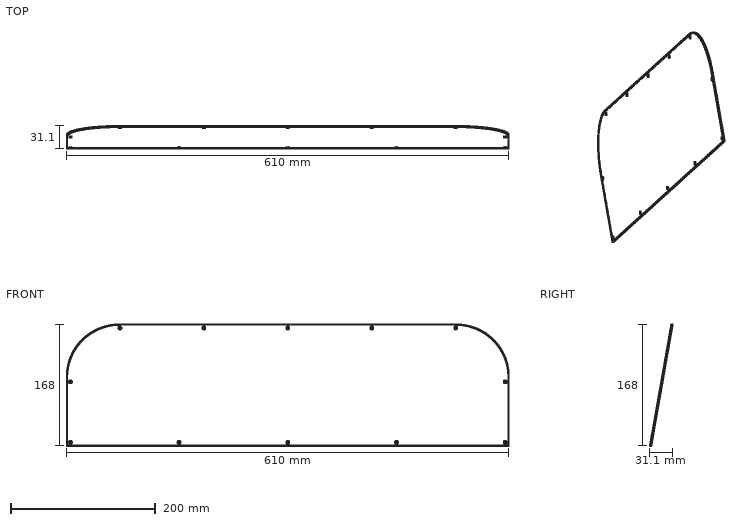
import cadquery as cq
import math

length = 610.0
overall_height = 168.0
thickness = 1.5
tilt = 10.0
corner_radius = 73.0

hole_diameter = 3.2
edge_margin = 5.0
top_hole_pitch = 116.0
top_hole_count = 5
bottom_hole_count = 5
side_hole_height = 89.5

tilt_angle = math.radians(tilt)
panel_height = (overall_height - thickness * math.sin(tilt_angle)) / math.cos(tilt_angle)
side_hole_x = length / 2 - edge_margin
bottom_hole_pitch = 2 * side_hole_x / (bottom_hole_count - 1)


def hole_row(count, pitch, height):
    """Return centred hole positions at one height."""
    first = -pitch * (count - 1) / 2
    return [(first + i * pitch, height) for i in range(count)]


def make_panel():
    """Upright panel standing on Z = 0, its front face on Y = 0."""
    blank = cq.Workplane("XY").box(length, thickness, panel_height, centered=(True, False, False))
    return blank.edges("|Y and >Z").fillet(corner_radius)


def make_hole_cutters():
    """Cylinders that pass right through the upright panel."""
    positions = hole_row(top_hole_count, top_hole_pitch, panel_height - edge_margin)
    positions += hole_row(bottom_hole_count, bottom_hole_pitch, edge_margin)
    positions += hole_row(2, 2 * side_hole_x, side_hole_height)
    cutters = cq.Workplane("XZ").pushPoints(positions).circle(hole_diameter / 2)
    return cutters.extrude(thickness, both=True).translate((0, thickness / 2, 0))


upright = make_panel().cut(make_hole_cutters())
result = upright.rotate((0, 0, 0), (1, 0, 0), -tilt)